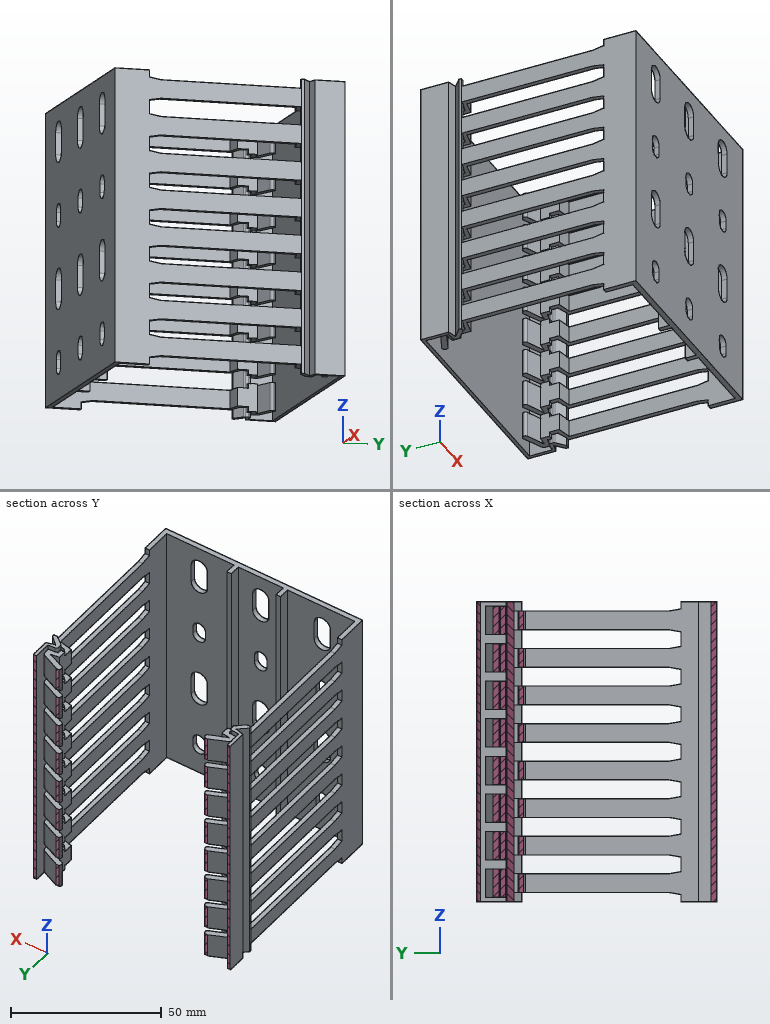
import cadquery as cq

LENGTH = 100.0
DUCT_WIDTH = 80.0
DUCT_DEPTH = 80.0
COVER_WIDTH = 80.1
DUCT_HALF = DUCT_WIDTH / 2
COVER_HALF = COVER_WIDTH / 2
BACK_Y = -DUCT_DEPTH / 2
COVER_Y = DUCT_DEPTH / 2

MOUNTING_WALL = 2.0
SIDE_WALL = 1.8
RIB_X = 10.0
RIB_WIDTH = 1.8
RIB_HEIGHT = 4.1

WALL_END_Y = 24.9
SHOULDER_INNER_Y = 23.7
SHOULDER_OUTER_X = 38.6
HOOK_INNER_X = 33.0
HOOK_OUTER_X = HOOK_INNER_X + SIDE_WALL
HOOK_BOTTOM_INNER_Y = 24.8
HOOK_BOTTOM_OUTER_Y = 26.2
HOOK_TOP_INNER_Y = 31.7
HOOK_TOP_OUTER_Y = 30.0
CATCH_X = 38.4
CATCH_CORNER = (CATCH_X, 30.5)
CATCH_BEND = (35.6, 30.3)
ARM_BEND = (CATCH_X, 33.4)
ARM_TOP = (29.8, 37.3)
ARM_BOTTOM = (28.8, 35.4)
ARM_NOTCH = (36.3, 32.2)
ARM_BEND_RADIUS = 1.5
ARM_TIP_RADIUS = 0.9

SLOT_PITCH = 12.5
SLOT_WIDTH = 6.2
SLOT_END_WIDTH = 4.8
SLOT_END_Y = -28.0
SLOT_TAPER_Y = -24.0
HOOK_SLOT_WIDTH = 3.0
HOOK_SLOT_Y = 28.5
SLOT_COUNT = int(LENGTH / SLOT_PITCH) + 1

HOLE_PITCH_X = 25.0
HOLE_PITCH_Z = 50.0
LARGE_HOLE_LENGTH = 14.0
LARGE_HOLE_WIDTH = 6.5
LARGE_HOLE_Z = 37.5
SMALL_HOLE_LENGTH = 8.0
SMALL_HOLE_WIDTH = 5.0
SMALL_HOLE_Z = 12.5

COVER_WALL = 1.3
COVER_INNER_X = COVER_HALF - COVER_WALL
LEG_INNER_END_Y = 30.3
GROOVE_TOP_Y = 29.6
GROOVE_BOTTOM_Y = 25.8
GROOVE_ROOT = (36.7, 28.7)
LIP_TIP_X = 35.1
LIP_TOP = (LIP_TIP_X, 30.0)
LIP_BOTTOM = (LIP_TIP_X, 27.8)
LIP_RADIUS = 0.9


def extruded(points):
    """Prism over the full length with the given XY outline."""
    return cq.Workplane("XY").polyline(points).close().extrude(LENGTH)


def mirrored(points):
    """Half-section points followed by their mirror images in reverse order."""
    return points + [(-x, y) for x, y in reversed(points)]


def round_edge(body, x, y, radius):
    """Round the two lengthwise edges at (x, y) and (-x, y)."""
    for side in (1, -1):
        edge = cq.selectors.NearestToPointSelector((side * x, y, LENGTH / 2))
        body = body.edges("|Z").edges(edge).fillet(radius)
    return body


def duct_profile():
    """Channel section with a snap hook on both side walls."""
    wall_inner_x = DUCT_HALF - SIDE_WALL
    outline = [
        (DUCT_HALF, BACK_Y),
        (DUCT_HALF, WALL_END_Y),
        (SHOULDER_OUTER_X, WALL_END_Y),
        (HOOK_OUTER_X, HOOK_BOTTOM_OUTER_Y),
        (HOOK_OUTER_X, HOOK_TOP_OUTER_Y),
        CATCH_BEND,
        CATCH_CORNER,
        ARM_BEND,
        ARM_TOP,
        ARM_BOTTOM,
        ARM_NOTCH,
        (HOOK_INNER_X, HOOK_TOP_INNER_Y),
        (HOOK_INNER_X, HOOK_BOTTOM_INNER_Y),
        (wall_inner_x, SHOULDER_INNER_Y),
        (wall_inner_x, BACK_Y + MOUNTING_WALL),
    ]
    body = extruded(mirrored(outline))
    body = round_edge(body, *ARM_BEND, ARM_BEND_RADIUS)
    body = round_edge(body, *ARM_TOP, ARM_TIP_RADIUS)
    return round_edge(body, *ARM_BOTTOM, ARM_TIP_RADIUS)


def ribs():
    """Two lengthwise ribs standing on the mounting wall."""
    rib_centre_y = BACK_Y + MOUNTING_WALL + RIB_HEIGHT / 2
    return (
        cq.Workplane("XY")
        .pushPoints([(-RIB_X, rib_centre_y), (RIB_X, rib_centre_y)])
        .rect(RIB_WIDTH, RIB_HEIGHT)
        .extrude(LENGTH)
    )


def finger_slot(z):
    """Slot through both side walls, tapered at its closed end and narrower through the hooks."""
    half_outline = [
        (SLOT_END_Y, SLOT_END_WIDTH / 2),
        (SLOT_TAPER_Y, SLOT_WIDTH / 2),
        (HOOK_SLOT_Y, SLOT_WIDTH / 2),
        (HOOK_SLOT_Y, HOOK_SLOT_WIDTH / 2),
        (COVER_Y, HOOK_SLOT_WIDTH / 2),
    ]
    outline = half_outline + [(y, -dz) for y, dz in reversed(half_outline)]
    return (
        cq.Workplane("YZ", origin=(0, 0, z))
        .polyline(outline)
        .close()
        .extrude(DUCT_HALF, both=True)
    )


def hole_pattern(length, width, first_z):
    """Two rows of three oblong holes through the mounting wall."""
    centres = [
        (column * HOLE_PITCH_X, first_z + row * HOLE_PITCH_Z)
        for column in (-1, 0, 1)
        for row in (0, 1)
    ]
    return (
        cq.Workplane("XZ", origin=(0, BACK_Y, 0))
        .pushPoints(centres)
        .slot2D(length, width, 90)
        .extrude(-MOUNTING_WALL)
    )


def make_duct():
    """Slotted duct: mounting wall, ribs and hooked fingers in one solid."""
    body = duct_profile()
    for index in range(SLOT_COUNT):
        body = body.cut(finger_slot(index * SLOT_PITCH))
    body = body.union(ribs())
    body = body.cut(hole_pattern(LARGE_HOLE_LENGTH, LARGE_HOLE_WIDTH, LARGE_HOLE_Z))
    return body.cut(hole_pattern(SMALL_HOLE_LENGTH, SMALL_HOLE_WIDTH, SMALL_HOLE_Z))


def make_cover():
    """Snap-on cover with a V-shaped lip on each leg."""
    outline = [
        (COVER_HALF, COVER_Y),
        (COVER_HALF, GROOVE_TOP_Y),
        GROOVE_ROOT,
        (COVER_HALF, GROOVE_BOTTOM_Y),
        (COVER_HALF, WALL_END_Y),
        (SHOULDER_OUTER_X, WALL_END_Y),
        LIP_BOTTOM,
        LIP_TOP,
        (COVER_INNER_X, LEG_INNER_END_Y),
        (COVER_INNER_X, COVER_Y - COVER_WALL),
    ]
    body = extruded(mirrored(outline))
    body = round_edge(body, *LIP_TOP, LIP_RADIUS)
    return round_edge(body, *LIP_BOTTOM, LIP_RADIUS)


duct = make_duct()
cover = make_cover()

result = cq.Compound.makeCompound([duct.solids().val(), cover.solids().val()])